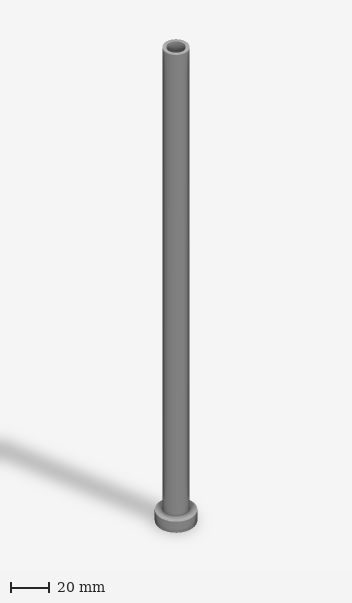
import cadquery as cq

total_length = 300.0
head_diameter = 22.0
head_height = 7.0
tube_diameter = 14.0
bore_diameter = 10.0
root_fillet_radius = 0.8


def make_head():
    """Flat round head with its underside on Z = 0."""
    return cq.Workplane("XY").circle(head_diameter / 2).extrude(head_height)


def add_tube(body):
    """Straight round tube rising from the head to the full length."""
    tube = cq.Workplane("XY").circle(tube_diameter / 2).extrude(total_length)
    return body.union(tube)


def fillet_root(body):
    """Round the inside corner where the tube meets the top of the head."""
    root_reach = (tube_diameter + head_diameter) / 4
    root_zone = cq.selectors.BoxSelector(
        (-root_reach, -root_reach, head_height / 2),
        (root_reach, root_reach, head_height * 3 / 2),
        boundingbox=True,
    )
    return body.edges(root_zone).fillet(root_fillet_radius)


def cut_bore(body):
    """Bore the part through along its axis."""
    bore = cq.Workplane("XY").circle(bore_diameter / 2).extrude(total_length)
    return body.cut(bore)


result = cut_bore(fillet_root(add_tube(make_head())))